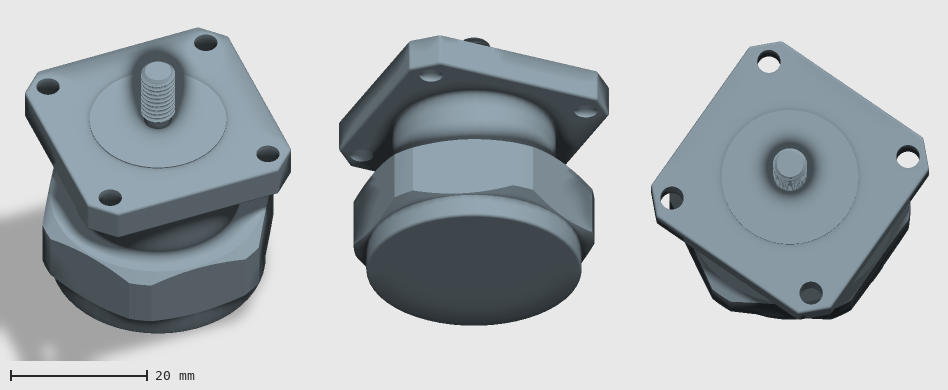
import cadquery as cq
import math

total_height = 38.7
nut_bottom = 3.52
nut_top = 13.0
plate_bottom = 23.5
plate_thickness = 5.05
plate_top = plate_bottom + plate_thickness
pilot_height = 0.2
pilot_top = plate_top + pilot_height
thread_bottom = 30.22

base_diameter = 31.5
base_edge_radius = 0.4
barrel_diameter = 24.0
barrel_fillet = 0.4

nut_across_flats = 32.0
nut_corner_diameter = 35.2
nut_chamfer_diameter = base_diameter
nut_chamfer_angle = 30.0

plate_side = 32.0
plate_corner_cut = 3.4
plate_edge_radius = 0.4
plate_corner_radius = 0.55
hole_diameter = 3.4
hole_spacing = 24.75
pilot_diameter = 20.0

neck_radius = 2.0
root_radius = 2.1
crest_radius = 2.5
stud_chamfer = 0.58
thread_runout = 0.3
thread_pitch = 0.8
thread_phase = 0.54
crest_share = 1 / 4
root_share = 1 / 8
flank_steps = 8
trim_clearance = 0.1


def cylinder(diameter, bottom, top):
    """Vertical cylinder on the Z axis between two heights."""
    return cq.Workplane("XY").workplane(offset=bottom).circle(diameter / 2).extrude(top - bottom)


def make_base():
    """Round disc below the nut, with its bottom rim rounded."""
    base = cylinder(base_diameter, 0, nut_bottom)
    return base.faces("<Z").edges().fillet(base_edge_radius)


def make_barrel():
    """Barrel that flares with a small concave fillet into the nut below and the plate above."""
    radius = barrel_diameter / 2
    flare_radius = radius + barrel_fillet
    inset = barrel_fillet * (1 - math.sqrt(0.5))
    profile = (
        cq.Workplane("XZ")
        .moveTo(0, nut_top)
        .lineTo(flare_radius, nut_top)
        .threePointArc((radius + inset, nut_top + inset), (radius, nut_top + barrel_fillet))
        .lineTo(radius, plate_bottom - barrel_fillet)
        .threePointArc((radius + inset, plate_bottom - inset), (flare_radius, plate_bottom))
        .lineTo(0, plate_bottom)
        .close()
    )
    return profile.revolve(360, (0, 0), (0, 1))


def make_nut():
    """Hexagon trimmed by a turned envelope that rounds its corners and chamfers both ends."""
    across_corners = nut_across_flats / math.cos(math.radians(30))
    hexagon = (
        cq.Workplane("XY")
        .workplane(offset=nut_bottom)
        .transformed(rotate=(0, 0, 30))
        .polygon(6, across_corners)
        .extrude(nut_top - nut_bottom)
    )
    corner_radius = nut_corner_diameter / 2
    end_radius = nut_chamfer_diameter / 2
    chamfer_height = (corner_radius - end_radius) * math.tan(math.radians(nut_chamfer_angle))
    envelope = (
        cq.Workplane("XZ")
        .moveTo(0, nut_bottom)
        .lineTo(end_radius, nut_bottom)
        .lineTo(corner_radius, nut_bottom + chamfer_height)
        .lineTo(corner_radius, nut_top - chamfer_height)
        .lineTo(end_radius, nut_top)
        .lineTo(0, nut_top)
        .close()
        .revolve(360, (0, 0), (0, 1))
    )
    return hexagon.intersect(envelope)


def make_plate():
    """Square plate with cut corners, rounded edges and a through hole near each corner."""
    plate = (
        cq.Workplane("XY")
        .workplane(offset=plate_bottom)
        .rect(plate_side, plate_side)
        .extrude(plate_thickness)
        .edges("|Z")
        .chamfer(plate_corner_cut)
        .edges("|Z")
        .fillet(plate_corner_radius)
        .faces("<Z or >Z")
        .edges()
        .fillet(plate_edge_radius)
    )
    return (
        plate.faces(">Z")
        .workplane(origin=(0, 0, plate_top))
        .rect(hole_spacing, hole_spacing, forConstruction=True)
        .vertices()
        .hole(hole_diameter)
    )


def polar_point(radius, turn):
    """Point at a radius and a direction given as a fraction of a full turn."""
    angle = 2 * math.pi * turn
    return (radius * math.cos(angle), radius * math.sin(angle))


def flank_points(start_radius, start_turn, end_radius, end_turn):
    """Points after the start of a thread flank, whose radius changes evenly with the turn."""
    points = []
    for step in range(1, flank_steps + 1):
        share = step / flank_steps
        radius = start_radius + share * (end_radius - start_radius)
        turn = start_turn + share * (end_turn - start_turn)
        points.append(polar_point(radius, turn))
    return points


def make_thread():
    """Right-handed single-start thread: its cam-shaped cross section twisted once per pitch."""
    crest_end = thread_phase + crest_share / 2
    root_start = thread_phase + 0.5 - root_share / 2
    root_end = root_start + root_share
    next_crest = crest_end + 1 - crest_share
    length = total_height - thread_bottom
    return (
        cq.Workplane("XY")
        .workplane(offset=thread_bottom)
        .moveTo(*polar_point(crest_radius, thread_phase - crest_share / 2))
        .threePointArc(polar_point(crest_radius, thread_phase), polar_point(crest_radius, crest_end))
        .spline(flank_points(crest_radius, crest_end, root_radius, root_start), includeCurrent=True)
        .threePointArc(
            polar_point(root_radius, thread_phase + 0.5),
            polar_point(root_radius, root_end),
        )
        .spline(flank_points(root_radius, root_end, crest_radius, next_crest), includeCurrent=True)
        .close()
        .twistExtrude(length, 360 * length / thread_pitch)
    )


def make_stud():
    """Plain neck below a thread whose ends are trimmed to cones."""
    envelope = (
        cylinder(2 * (crest_radius + trim_clearance), thread_bottom, total_height)
        .faces(">Z").chamfer(stud_chamfer + trim_clearance)
        .faces("<Z").chamfer(thread_runout + trim_clearance)
    )
    neck = cylinder(2 * neck_radius, pilot_top, thread_bottom)
    return make_thread().intersect(envelope).union(neck)


pilot = cylinder(pilot_diameter, plate_top, pilot_top)

result = (
    make_base()
    .union(make_nut())
    .union(make_barrel())
    .union(make_plate())
    .union(pilot)
    .union(make_stud())
)